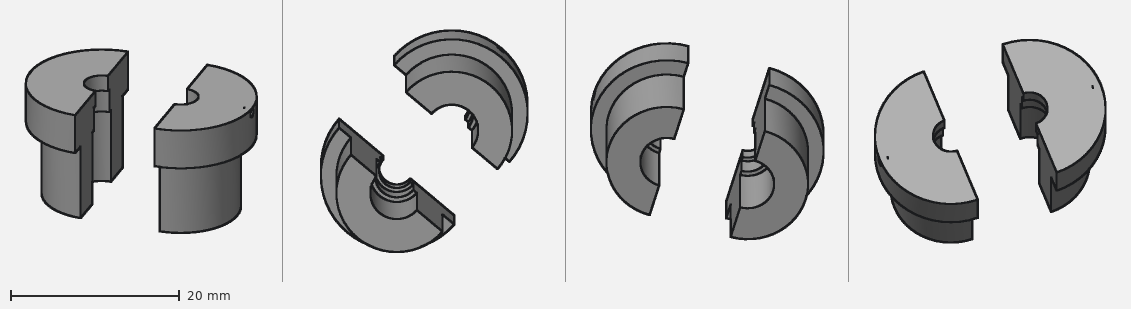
import cadquery as cq
import math

overall_length = 28.0
head_diameter = 18.0
gap = overall_length - head_diameter

height = 14.5
head_height = 5.0
stem_diameter = 14.3

mouth_diameter = 4.2
mouth_depth = 2.02
middle_diameter = 5.15
middle_depth = head_height
lower_diameter = 6.27

side_hole_diameter = 1.0
side_hole_center_depth = 0.62
side_hole_straight_depth = 1.0
drill_point_angle = 118.0


def cylinder(diameter, bottom, top):
    """Upright cylinder on the Z axis between two heights."""
    return cq.Workplane("XY").workplane(offset=bottom).circle(diameter / 2).extrude(top - bottom)


def full_bushing():
    """Flanged round body with a bore in three steps."""
    head = cylinder(head_diameter, height - head_height, height)
    body = cylinder(stem_diameter, 0, height).union(head)
    body = body.cut(cylinder(mouth_diameter, 0, height))
    body = body.cut(cylinder(middle_diameter, 0, height - mouth_depth))
    return body.cut(cylinder(lower_diameter, 0, height - middle_depth))


def side_hole_tool():
    """Drill shape entering the head along +X from its outermost point."""
    radius = side_hole_diameter / 2
    point_length = radius / math.tan(math.radians(drill_point_angle / 2))
    rim_x = -head_diameter / 2
    shoulder_x = rim_x + side_hole_straight_depth
    profile = (
        cq.Workplane("XY")
        .moveTo(rim_x, 0)
        .lineTo(rim_x, radius)
        .lineTo(shoulder_x, radius)
        .lineTo(shoulder_x + point_length, 0)
        .close()
    )
    drill = profile.revolve(360, (0, 0, 0), (1, 0, 0))
    return drill.translate((0, 0, height - side_hole_center_depth))


def half_bushing(angle):
    """Half on the -X side of the gap, turned about Z by the given angle."""
    keep = cq.Workplane("XY").box(
        head_diameter, head_diameter, height, centered=(False, True, False)
    ).translate((-head_diameter, 0, 0))
    half = full_bushing().intersect(keep).cut(side_hole_tool())
    half = half.translate((-gap / 2, 0, 0))
    return half.rotate((0, 0, 0), (0, 0, 1), angle)


half_bushings = [half_bushing(angle).val() for angle in (0, 180)]

result = cq.Compound.makeCompound(half_bushings)